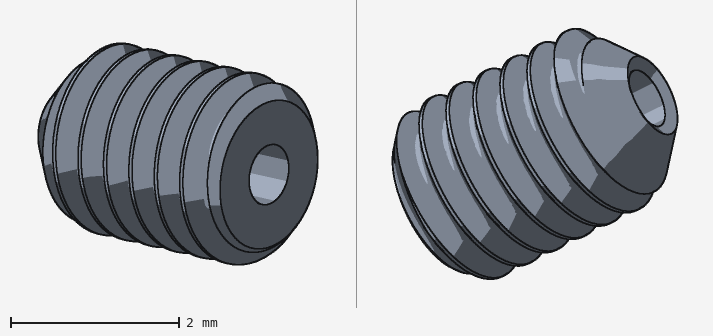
import cadquery as cq
import math

INCH = 25.4
length = INCH / 8
crest_radius = 0.045 * INCH
pitch = INCH / 64
thread_half_angle = math.radians(30)

point_radius = 0.020 * INCH
bore_radius = 0.365
cup_half_angle = math.radians(60)

sharp_height = pitch / 2 / math.tan(thread_half_angle)
crest_trim = sharp_height / 8
root_arc_radius = sharp_height / 6
sharp_root_radius = crest_radius + crest_trim - sharp_height
root_arc_center_radius = sharp_root_radius + root_arc_radius / math.sin(thread_half_angle)
root_radius = root_arc_center_radius - root_arc_radius
root_tangent_radius = root_arc_center_radius - root_arc_radius * math.sin(thread_half_angle)

cutter_overcut = 0.02
cutter_radius = crest_radius + cutter_overcut

point_bevel = crest_radius - point_radius
end_bevel = crest_radius - root_radius
cup_depth = (point_radius - bore_radius) / math.tan(cup_half_angle)

groove_start = -pitch / 4
groove_runout = 1.25 * pitch
groove_length = length + groove_runout - groove_start


def make_blank():
    """Bored cylinder with the conical point, cup and end bevel, revolved about X."""
    profile = (
        cq.Workplane("XY")
        .moveTo(0, point_radius)
        .lineTo(point_bevel, crest_radius)
        .lineTo(length - end_bevel, crest_radius)
        .lineTo(length, root_radius)
        .lineTo(length, bore_radius)
        .lineTo(cup_depth, bore_radius)
        .close()
    )
    return profile.revolve(360, (0, 0, 0), (1, 0, 0))


def flank_half_width(radius):
    """Half the axial width between the groove flanks at a given radius."""
    return (radius - sharp_root_radius) * math.tan(thread_half_angle)


def make_thread_groove():
    """Right-hand helical groove, swept along Z and then laid along X."""
    outer_half_width = flank_half_width(cutter_radius)
    root_half_width = flank_half_width(root_tangent_radius)
    helix = cq.Wire.makeHelix(pitch, groove_length, root_radius)
    groove = (
        cq.Workplane("XZ")
        .moveTo(cutter_radius, -outer_half_width)
        .lineTo(root_tangent_radius, -root_half_width)
        .threePointArc((root_radius, 0), (root_tangent_radius, root_half_width))
        .lineTo(cutter_radius, outer_half_width)
        .close()
        .sweep(cq.Workplane("XY").add(helix), isFrenet=True)
    )
    return groove.rotate((0, 0, 0), (0, 1, 0), 90).translate((groove_start, 0, 0))


result = make_blank().cut(make_thread_groove())